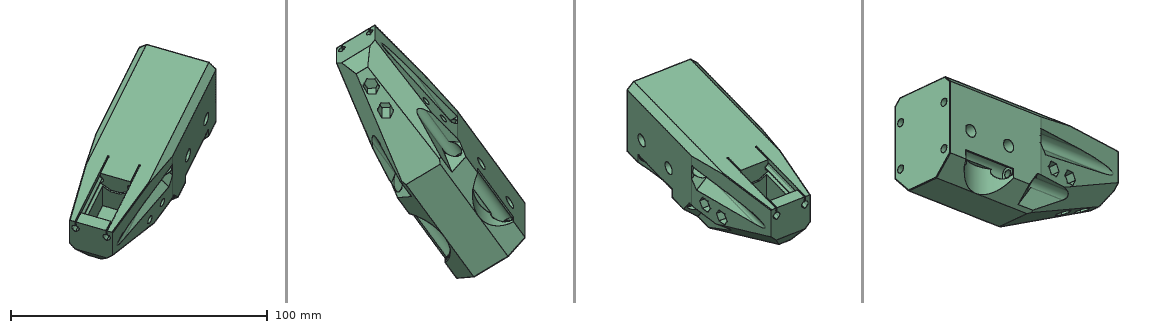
import cadquery as cq
import math

WIDTH = 32.0
LENGTH = 95.5
HEIGHT = 42.0
HALF_WIDTH = WIDTH / 2
TOP_CHAMFER = 3.0
BOTTOM_CHAMFER = 8.0
EDGE_BREAK = 0.3
MARGIN = 5.0
SIN45 = math.sqrt(0.5)

TAPER_LENGTH = 47.5
NOSE_HALF_WIDTH = 9.0
NOSE_BOTTOM_Z = 25.8
CHIN_Y = 4.4
CHIN_Z = 18.8
BEVEL_NOSE_Z = 28.4
BEVEL_REAR_Y = 33.0
BEVEL_REAR_Z = 14.0
BEVEL_CHIN_X = 2.7

SCREW_X = 12.5
SCREW_HOLE_D = 3.3
SCREW_HEAD_D = 6.0
UPPER_SCREW_Z = 31.0
LOWER_SCREW_Z = 11.0
SCREW_SEAT_Y = 53.5

RECESS_Y = 74.5
RECESS_RADIUS = 14.0
RECESS_TOP_Z = 12.0
CROSS_HOLE_D = 5.3
CROSS_HOLE_SPACING = 20.0
CROSS_HOLE_Z = 21.0

NUT_FLATS = 5.5
NUT_CORNERS = NUT_FLATS / math.cos(math.pi / 6)
NOSE_SCREW_YS = (29.5, 39.5)
NOSE_SCREW_Z = 19.5
NUT_POCKET_FLOOR_X = 8.0

TRAP_YS = (11.0, 21.0)
TRAP_TOP_Z = 20.0

POCKET_Y = 16.0
POCKET_LENGTH = 21.7
POCKET_HALF_WIDTH = 6.25
TROUGH_EDGE_Z = 36.25
TROUGH_FLOOR_HALF_WIDTH = 1.85
TROUGH_ANGLE = math.radians(30)
WELL_WIDTH = 10.2
WELL_LENGTH = 20.2
WELL_FLOOR_Z = 24.0
ROD_X = 6.5
ROD_Z = 38.2
ROD_RADIUS = 1.5
ROD_LENGTH = 36.3
SLOT_WIDTH = 0.5


def half_space(point, normal):
    """Large block filling the side of a plane that its normal points to."""
    size = 4 * LENGTH
    plane = cq.Plane(origin=point, normal=normal)
    return cq.Workplane(plane).box(size, size, size, centered=(True, True, False))


def mirrored_pair(shape):
    return shape.union(shape.mirror("YZ"))


def rod_along_y(x, z, diameter, start_y, end_y):
    plane = cq.Plane(origin=(x, start_y, z), xDir=(1, 0, 0), normal=(0, 1, 0))
    return cq.Workplane(plane).circle(diameter / 2).extrude(end_y - start_y)


def prism_along_y(points, start_y, end_y):
    """Extrude an outline of (x, z) points from start_y to end_y."""
    section = cq.Workplane("XZ", origin=(0, start_y, 0)).polyline(points).close()
    return section.extrude(start_y - end_y)


def make_body():
    top_x = HALF_WIDTH - TOP_CHAMFER
    bottom_x = HALF_WIDTH - BOTTOM_CHAMFER
    section = [
        (-bottom_x, 0),
        (bottom_x, 0),
        (HALF_WIDTH, BOTTOM_CHAMFER),
        (HALF_WIDTH, HEIGHT - TOP_CHAMFER),
        (top_x, HEIGHT),
        (-top_x, HEIGHT),
        (-HALF_WIDTH, HEIGHT - TOP_CHAMFER),
        (-HALF_WIDTH, BOTTOM_CHAMFER),
    ]
    block = prism_along_y(section, 0, LENGTH).faces(">Y").chamfer(EDGE_BREAK)

    planform = [
        (-NOSE_HALF_WIDTH, 0),
        (NOSE_HALF_WIDTH, 0),
        (HALF_WIDTH, TAPER_LENGTH),
        (HALF_WIDTH, LENGTH),
        (-HALF_WIDTH, LENGTH),
        (-HALF_WIDTH, TAPER_LENGTH),
    ]
    side_profile = [
        (0, HEIGHT),
        (0, NOSE_BOTTOM_Z),
        (CHIN_Y, CHIN_Z),
        (TAPER_LENGTH, 0),
        (LENGTH, 0),
        (LENGTH, HEIGHT),
    ]
    block = block.intersect(cq.Workplane("XY").polyline(planform).close().extrude(HEIGHT))
    profile = cq.Workplane("YZ").polyline(side_profile).close()
    return block.intersect(profile.extrude(HALF_WIDTH, both=True))


def taper_x(y):
    """Half width of the tapered nose at y."""
    return NOSE_HALF_WIDTH + (HALF_WIDTH - NOSE_HALF_WIDTH) * y / TAPER_LENGTH


def lower_bevels():
    """Flat bevels between the tapered sides and the sloped underside."""
    nose = cq.Vector(NOSE_HALF_WIDTH, 0, BEVEL_NOSE_Z)
    rear = cq.Vector(taper_x(BEVEL_REAR_Y), BEVEL_REAR_Y, BEVEL_REAR_Z)
    chin = cq.Vector(BEVEL_CHIN_X, CHIN_Y, CHIN_Z)
    outward = (chin - nose).cross(rear - nose)
    return mirrored_pair(half_space(nose.toTuple(), outward.toTuple()))


def taper_edge_breaks():
    """Small chamfers along the upper edges of the tapered sides."""
    taper = math.atan2(HALF_WIDTH - NOSE_HALF_WIDTH, TAPER_LENGTH)
    edge_point = (NOSE_HALF_WIDTH, 0, HEIGHT - EDGE_BREAK)
    normal = (math.cos(taper), -math.sin(taper), 1)
    return mirrored_pair(half_space(edge_point, normal))


def screw_channel(screw_z, opening, opening_end_y, ramp_point, ramp_normal):
    """Screw hole, head bore and the sideways opening that ends in a ramp."""
    hole = rod_along_y(SCREW_X, screw_z, SCREW_HOLE_D, -MARGIN, LENGTH + MARGIN)
    head = rod_along_y(SCREW_X, screw_z, SCREW_HEAD_D, -MARGIN, SCREW_SEAT_Y)
    sideways = prism_along_y(opening, -MARGIN, opening_end_y)
    sideways = sideways.cut(half_space(ramp_point, ramp_normal))
    return mirrored_pair(hole.union(head).union(sideways))


def upper_channels():
    """Channels with a flat roof and a floor sloping 45 degrees outward."""
    radius = SCREW_HEAD_D / 2
    roof_z = UPPER_SCREW_Z + radius
    outer_x = HALF_WIDTH + MARGIN
    tangent_x = SCREW_X - radius * SIN45
    tangent_z = UPPER_SCREW_Z - radius * SIN45
    opening = [
        (SCREW_X, roof_z),
        (outer_x, roof_z),
        (outer_x, tangent_z - (outer_x - tangent_x)),
        (tangent_x, tangent_z),
        (SCREW_X, UPPER_SCREW_Z),
    ]
    ramp_point = (SCREW_X, TAPER_LENGTH, UPPER_SCREW_Z)
    ramp_normal = (-SIN45, 1, -SIN45)
    return screw_channel(UPPER_SCREW_Z, opening, TAPER_LENGTH, ramp_point, ramp_normal)


def lower_channels():
    """Channels with a flat roof, an upright inner wall and no floor."""
    radius = SCREW_HEAD_D / 2
    roof_z = LOWER_SCREW_Z + radius
    outer_x = HALF_WIDTH + MARGIN
    wall_x = SCREW_X - radius
    opening = [
        (SCREW_X, roof_z),
        (outer_x, roof_z),
        (outer_x, -MARGIN),
        (wall_x, -MARGIN),
        (wall_x, LOWER_SCREW_Z),
        (SCREW_X, LOWER_SCREW_Z),
    ]
    ramp_point = (HALF_WIDTH, SCREW_SEAT_Y, BOTTOM_CHAMFER)
    ramp_normal = (-SIN45, 1, SIN45)
    return screw_channel(LOWER_SCREW_Z, opening, SCREW_SEAT_Y, ramp_point, ramp_normal)


def side_recesses():
    """Round recesses in the lower chamfers, with head bores in their walls."""
    axis_x = HALF_WIDTH - BOTTOM_CHAMFER + RECESS_RADIUS
    scoop = cq.Workplane("XY", origin=(axis_x, RECESS_Y, -MARGIN)).circle(RECESS_RADIUS)
    scoop = scoop.extrude(RECESS_TOP_Z + MARGIN)
    half_opening = math.sqrt(RECESS_RADIUS**2 - (axis_x - HALF_WIDTH) ** 2)
    bore = rod_along_y(
        SCREW_X, LOWER_SCREW_Z, SCREW_HEAD_D, RECESS_Y - half_opening, RECESS_Y + half_opening
    )
    return mirrored_pair(scoop.union(bore))


def cross_holes():
    half_spacing = CROSS_HOLE_SPACING / 2
    centres = [(RECESS_Y - half_spacing, CROSS_HOLE_Z), (RECESS_Y + half_spacing, CROSS_HOLE_Z)]
    holes = cq.Workplane("YZ").pushPoints(centres).circle(CROSS_HOLE_D / 2)
    return holes.extrude(WIDTH, both=True)


def nose_screws():
    """Cross screw holes with nut pockets on the -X side."""
    centres = [(y, NOSE_SCREW_Z) for y in NOSE_SCREW_YS]
    holes = cq.Workplane("YZ").pushPoints(centres).circle(SCREW_HOLE_D / 2)
    holes = holes.extrude(WIDTH, both=True)
    nuts = cq.Workplane("YZ", origin=(-NUT_POCKET_FLOOR_X, 0, 0)).pushPoints(centres)
    nuts = nuts.polygon(6, NUT_CORNERS).extrude(-WIDTH)
    return holes.union(nuts)


def nut_traps():
    """Upright hexagonal traps, corners toward the nose, open to the underside."""
    turned = cq.Plane.XY().rotated((0, 0, 90))
    centres = [(y, 0) for y in TRAP_YS]
    traps = cq.Workplane(turned).pushPoints(centres).polygon(6, NUT_CORNERS)
    return traps.extrude(TRAP_TOP_Z)


def top_pocket():
    """Pocket with a trough-shaped floor and a deeper rectangular well."""
    trough_rise = (POCKET_HALF_WIDTH - TROUGH_FLOOR_HALF_WIDTH) * math.tan(TROUGH_ANGLE)
    trough_floor_z = TROUGH_EDGE_Z - trough_rise
    section = [
        (-POCKET_HALF_WIDTH, HEIGHT + MARGIN),
        (-POCKET_HALF_WIDTH, TROUGH_EDGE_Z),
        (-TROUGH_FLOOR_HALF_WIDTH, trough_floor_z),
        (TROUGH_FLOOR_HALF_WIDTH, trough_floor_z),
        (POCKET_HALF_WIDTH, TROUGH_EDGE_Z),
        (POCKET_HALF_WIDTH, HEIGHT + MARGIN),
    ]
    pocket = prism_along_y(section, POCKET_Y - POCKET_LENGTH / 2, POCKET_Y + POCKET_LENGTH / 2)
    well = cq.Workplane("XY", origin=(0, POCKET_Y, WELL_FLOOR_Z)).rect(WELL_WIDTH, WELL_LENGTH)
    return pocket.union(well.extrude(HEIGHT - WELL_FLOOR_Z))


def rod_slots():
    """Teardrop rod bores, pointed downward, with thin slots up to the top."""
    bore = rod_along_y(ROD_X, ROD_Z, 2 * ROD_RADIUS, -MARGIN, ROD_LENGTH)
    flank = ROD_RADIUS * SIN45
    point = [
        (ROD_X, ROD_Z),
        (ROD_X - flank, ROD_Z - flank),
        (ROD_X, ROD_Z - 2 * flank),
        (ROD_X + flank, ROD_Z - flank),
    ]
    slot = [
        (ROD_X - SLOT_WIDTH / 2, ROD_Z),
        (ROD_X + SLOT_WIDTH / 2, ROD_Z),
        (ROD_X + SLOT_WIDTH / 2, HEIGHT + MARGIN),
        (ROD_X - SLOT_WIDTH / 2, HEIGHT + MARGIN),
    ]
    for outline in (point, slot):
        bore = bore.union(prism_along_y(outline, -MARGIN, ROD_LENGTH))
    return mirrored_pair(bore)


result = make_body()
for cutter in (
    lower_bevels(),
    taper_edge_breaks(),
    upper_channels(),
    lower_channels(),
    side_recesses(),
    cross_holes(),
    nose_screws(),
    nut_traps(),
    top_pocket(),
    rod_slots(),
):
    result = result.cut(cutter)